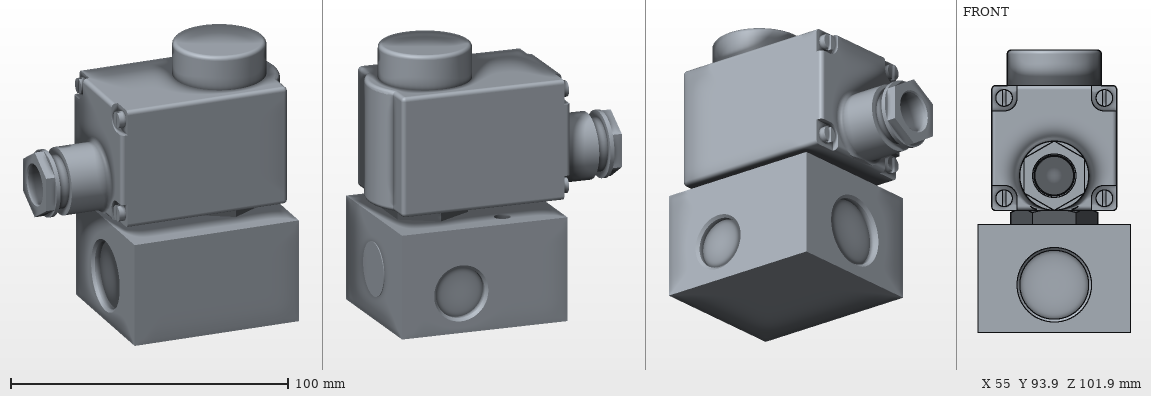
import cadquery as cq
import math


BLOCK_WIDTH = 55.0
BLOCK_HEIGHT = 39.0
BLOCK_REAR_Y = 19.7
BLOCK_FRONT_Y = -44.4

PAD_DIAMETER = 20.3
PAD_HEIGHT = 0.3
PAD_Z = 19.0

FRONT_PORT_DIAMETER = 24.9
FRONT_PORT_Z = 17.2
SIDE_PORT_DIAMETER = 19.0
SIDE_PORT_Y = -3.3
SIDE_PORT_Z = 14.9
PORT_MOUTH_CHAMFER = 1.0
PORT_DEPTH = 3.1

TOP_HOLE_DIAMETER = 6.0
TOP_HOLE_DEPTH = 1.5
TOP_HOLE_X = -18.1
TOP_HOLE_Y = -22.8

NECK_CORNER_DIAMETER = 31.5
NECK_CHAMFER_DROP = 0.7
NECK_CHAMFER_INSET = 1.2

HOUSING_SIDE = 45.1
HOUSING_BOTTOM_Z = 43.9
HOUSING_TOP_Z = HOUSING_BOTTOM_Z + HOUSING_SIDE
HOUSING_FRONT_Y = -47.6
HOUSING_REAR_Y = 17.5
HOUSING_BULGE_RADIUS = 21.9
EDGE_FILLET = 1.5

TOTAL_HEIGHT = 101.9
CAP_DIAMETER = 34.0

SCREW_INSET = 4.5
SCREW_DIAMETER = 6.0
SCREW_SLOT_WIDTH = 1.3
SCREW_SLOT_DEPTH = 1.3
POCKET_SIDE = 9.2
POCKET_RADIUS = POCKET_SIDE - SCREW_INSET
POCKET_DEPTH = 2.4

GLAND_Z = 56.6
COLLAR_DIAMETER = 25.0
COLLAR_END_Y = -62.7
GROOVE_DIAMETER = 19.8
GROOVE_END_Y = -67.0
FLANGE_DIAMETER = 24.9
FLANGE_THICKNESS = 1.5
GLAND_NUT_FLATS = 21.7
GLAND_NUT_END_Y = -72.0
GLAND_BORE_DIAMETER = 14.7
GLAND_BORE_CHAMFER = 0.5
GLAND_BORE_DEPTH = 12.2
GLAND_PASSAGE_DIAMETER = 14.0

HEX_HALF_STEP = 30
HEX_CORNER_PER_FLATS = 1 / math.cos(math.radians(HEX_HALF_STEP))


def xz_plane(y, x=0.0, z=0.0):
    """Plane facing -Y through the given point, with local axes along X and Z."""
    return cq.Workplane(cq.Plane(origin=(x, y, z), xDir=(1, 0, 0), normal=(0, -1, 0)))


def chamfered_bore(workplane, diameter, chamfer, depth):
    """Blind bore with a conical mouth, sunk into the face the workplane lies on."""
    bore = workplane.circle(diameter / 2).extrude(-depth)
    mouth = (
        workplane.circle(diameter / 2 + chamfer)
        .workplane(offset=-chamfer)
        .circle(diameter / 2)
        .loft()
    )
    return bore.union(mouth)


def make_block():
    """Valve block with its rear pad, two ports and the hole in its top."""
    length = BLOCK_REAR_Y - BLOCK_FRONT_Y
    block = cq.Workplane("XY").box(BLOCK_WIDTH, length, BLOCK_HEIGHT, centered=(True, False, False))
    block = block.translate((0, BLOCK_FRONT_Y, 0))

    pad = xz_plane(BLOCK_REAR_Y, z=PAD_Z).circle(PAD_DIAMETER / 2).extrude(-PAD_HEIGHT)

    front_port = chamfered_bore(
        xz_plane(BLOCK_FRONT_Y, z=FRONT_PORT_Z), FRONT_PORT_DIAMETER, PORT_MOUTH_CHAMFER, PORT_DEPTH
    )
    left_face = cq.Plane(
        origin=(-BLOCK_WIDTH / 2, SIDE_PORT_Y, SIDE_PORT_Z), xDir=(0, -1, 0), normal=(-1, 0, 0)
    )
    side_port = chamfered_bore(
        cq.Workplane(left_face), SIDE_PORT_DIAMETER, PORT_MOUTH_CHAMFER, PORT_DEPTH
    )
    top_hole = (
        cq.Workplane("XY", origin=(TOP_HOLE_X, TOP_HOLE_Y, BLOCK_HEIGHT))
        .circle(TOP_HOLE_DIAMETER / 2)
        .extrude(-TOP_HOLE_DEPTH)
    )
    return block.union(pad).cut(front_port).cut(side_port).cut(top_hole)


def make_neck():
    """Hexagon with corners on X, its upper corners cut by a turned chamfer."""
    base = cq.Workplane("XY", origin=(0, 0, BLOCK_HEIGHT))
    height = HOUSING_BOTTOM_Z - BLOCK_HEIGHT
    turned_blank = (
        base.circle(NECK_CORNER_DIAMETER / 2)
        .extrude(height)
        .faces(">Z")
        .chamfer(NECK_CHAMFER_DROP, NECK_CHAMFER_INSET)
    )
    return base.polygon(6, NECK_CORNER_DIAMETER).extrude(height).intersect(turned_blank)


def make_housing():
    """Box with a round bulge at the rear, rounded edges and a cylindrical cap."""
    length = HOUSING_REAR_Y - HOUSING_FRONT_Y
    base = cq.Workplane("XY", origin=(0, 0, HOUSING_BOTTOM_Z))
    box = base.center(0, HOUSING_REAR_Y - length / 2).rect(HOUSING_SIDE, length).extrude(HOUSING_SIDE)
    box = box.faces(">Y").edges("|Z").fillet(EDGE_FILLET)
    bulge = base.circle(HOUSING_BULGE_RADIUS).extrude(HOUSING_SIDE)
    housing = box.union(bulge)
    housing = housing.faces("<Z or >Z or <Y").edges().fillet(EDGE_FILLET)
    cap = (
        cq.Workplane("XY", origin=(0, 0, HOUSING_TOP_Z))
        .circle(CAP_DIAMETER / 2)
        .extrude(TOTAL_HEIGHT - HOUSING_TOP_Z)
        .faces(">Z")
        .edges()
        .fillet(EDGE_FILLET)
    )
    return housing.union(cap)


def add_corner_screws(housing):
    """Pocket and slotted screw at each corner of the housing front."""
    offset = HOUSING_SIDE / 2 - SCREW_INSET
    middle_z = HOUSING_BOTTOM_Z + HOUSING_SIDE / 2
    for side_x in (-1, 1):
        for side_z in (-1, 1):
            front = xz_plane(HOUSING_FRONT_Y, side_x * offset, middle_z + side_z * offset)
            outer_x = side_x * SCREW_INSET
            outer_z = side_z * SCREW_INSET
            inner_x = -side_x * POCKET_RADIUS
            inner_z = -side_z * POCKET_RADIUS
            pocket = (
                front.moveTo(outer_x, outer_z)
                .lineTo(inner_x, outer_z)
                .lineTo(inner_x, 0)
                .radiusArc((0, inner_z), -side_x * side_z * POCKET_RADIUS)
                .lineTo(outer_x, inner_z)
                .close()
                .extrude(-POCKET_DEPTH)
            )
            screw = front.circle(SCREW_DIAMETER / 2).extrude(-POCKET_DEPTH)
            slot = front.rect(SCREW_SLOT_WIDTH, SCREW_DIAMETER).extrude(-SCREW_SLOT_DEPTH)
            housing = housing.cut(pocket).union(screw.cut(slot))
    return housing


def make_gland():
    """Collar with a flared root, groove, flange and hexagonal nut on one axis."""
    collar_radius = COLLAR_DIAMETER / 2
    collar_root_y = HOUSING_FRONT_Y - EDGE_FILLET
    root_y = HOUSING_FRONT_Y + EDGE_FILLET
    flange_end_y = GROOVE_END_Y - FLANGE_THICKNESS
    arc_part = EDGE_FILLET * (1 - math.sqrt(0.5))
    turned = (
        cq.Workplane("XY", origin=(0, 0, GLAND_Z))
        .moveTo(0, root_y)
        .lineTo(collar_radius, root_y)
        .lineTo(collar_radius + EDGE_FILLET, HOUSING_FRONT_Y)
        .threePointArc(
            (collar_radius + arc_part, HOUSING_FRONT_Y - arc_part), (collar_radius, collar_root_y)
        )
        .lineTo(collar_radius, COLLAR_END_Y)
        .lineTo(GROOVE_DIAMETER / 2, COLLAR_END_Y)
        .lineTo(GROOVE_DIAMETER / 2, GROOVE_END_Y)
        .lineTo(FLANGE_DIAMETER / 2, GROOVE_END_Y)
        .lineTo(FLANGE_DIAMETER / 2, flange_end_y)
        .lineTo(0, flange_end_y)
        .close()
        .revolve(360, (0, 0, 0), (0, 1, 0))
    )
    below_housing = (
        cq.Workplane("XY", origin=(0, (root_y + flange_end_y) / 2, HOUSING_BOTTOM_Z))
        .rect(HOUSING_SIDE, root_y - flange_end_y)
        .extrude(-COLLAR_DIAMETER)
    )
    nut = (
        xz_plane(flange_end_y, z=GLAND_Z)
        .polygon(6, GLAND_NUT_FLATS * HEX_CORNER_PER_FLATS)
        .extrude(flange_end_y - GLAND_NUT_END_Y)
        .rotate((0, 0, GLAND_Z), (0, 1, GLAND_Z), HEX_HALF_STEP)
    )
    return turned.cut(below_housing).union(nut)


def make_gland_bore():
    """Bore with a chamfered mouth, continued by a narrower passage to the housing front."""
    nut_face = xz_plane(GLAND_NUT_END_Y, z=GLAND_Z)
    bore = chamfered_bore(nut_face, GLAND_BORE_DIAMETER, GLAND_BORE_CHAMFER, GLAND_BORE_DEPTH)
    passage_depth = HOUSING_FRONT_Y - GLAND_NUT_END_Y
    passage = nut_face.circle(GLAND_PASSAGE_DIAMETER / 2).extrude(-passage_depth)
    return bore.union(passage)


housing = add_corner_screws(make_housing())
result = make_block().union(make_neck()).union(housing).union(make_gland()).cut(make_gland_bore())